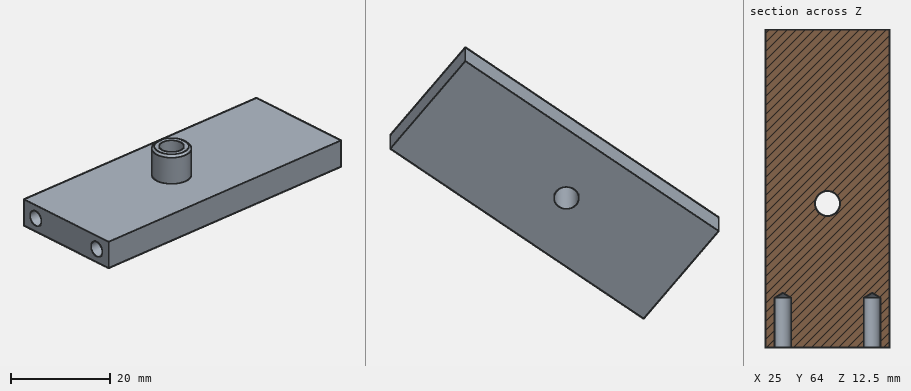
import cadquery as cq
import math

width = 25.0
length = 64.0
thickness = 6.0

total_height = 12.5
boss_height = total_height - thickness
boss_diameter = 8.0
boss_chamfer = 0.5
bore_diameter = 5.0
boss_x = width / 2
boss_y = 29.0

end_hole_diameter = 3.3
end_hole_spacing = 18.0
end_hole_depth = 10.0
drill_point_angle = 118.0


def make_plate():
    return cq.Workplane("XY").box(width, length, thickness, centered=False)


def make_boss():
    boss = cq.Workplane("XY", origin=(boss_x, boss_y, thickness))
    boss = boss.circle(boss_diameter / 2).extrude(boss_height)
    return boss.faces(">Z").edges().chamfer(boss_chamfer)


def make_bore():
    bore = cq.Workplane("XY", origin=(boss_x, boss_y, 0))
    return bore.circle(bore_diameter / 2).extrude(total_height)


def make_end_hole(x):
    """Blind hole along +Y with a conical drill point at its bottom."""
    radius = end_hole_diameter / 2
    point_length = radius / math.tan(math.radians(drill_point_angle / 2))
    half_profile = (
        cq.Workplane("XY", origin=(x, 0, thickness / 2))
        .lineTo(radius, 0)
        .lineTo(radius, end_hole_depth)
        .lineTo(0, end_hole_depth + point_length)
        .close()
    )
    return half_profile.revolve(360, (0, 0, 0), (0, 1, 0))


result = make_plate().union(make_boss()).cut(make_bore())
for side in (-1, 1):
    result = result.cut(make_end_hole(width / 2 + side * end_hole_spacing / 2))